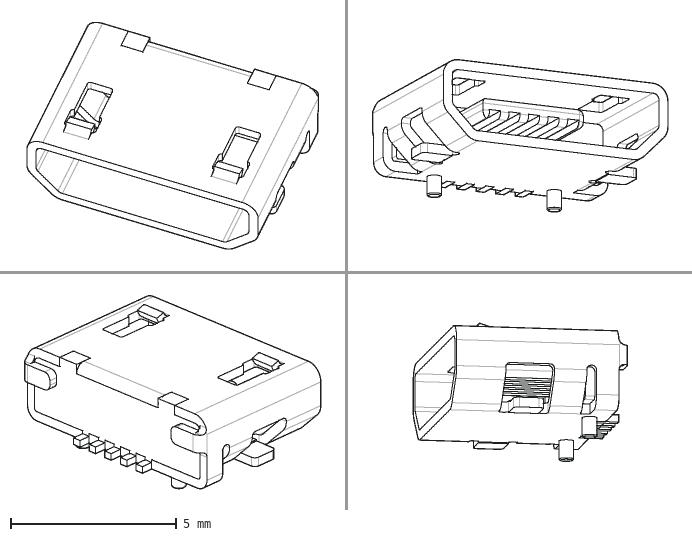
import cadquery as cq
import math


width = 7.5
height = 2.47
depth = 4.995
wall = 0.315
side_wall = 0.3
bend_radius = 0.52
rear_bend_radius = 0.405
bevel = 0.94
bevel_angle = 45.0
half_width = width / 2
inner_half_width = half_width - side_wall
inner_bend_radius = bend_radius - wall
rear_inner_bend_radius = rear_bend_radius - wall
inner_bevel = bevel + wall * math.sqrt(2) - side_wall - wall
floor_half_width = half_width - bevel - bend_radius * math.tan(math.radians(bevel_angle / 2))

slit_front = 4.005
slit_rear = 4.3
slit_corner_radius = 0.14
opening_top = 1.3

window_front = 1.515
window_rear = 3.01
window_corner_radius = 0.14
relief_radius = 0.14
tab_front = window_front + 2 * relief_radius
tab_rear = window_rear - 2 * relief_radius
tab_tip = 3.59
tab_step = 2.78
tab_bottom = -0.03
tab_thickness = 0.3
tab_corner_radius = 0.16

spring_x = 2.4
spring_width = 0.82
spring_root = 0.615
spring_radius = 0.26
spring_angle = 73.0
roof_slot_front = 0.9
roof_slot_rear = 2.715
roof_slot_radius = 0.09
relief_width = 1.005
relief_rear = 1.54

ear_tip = 2.53
ear_thickness = 0.3
ear_bottom = 1.365
ear_top = 1.965
ear_tip_radius = 0.225
ear_bend_radius = 0.29
ear_root_radius = 0.19

lug_x = 2.05
lug_width = 0.705
lug_front = 4.395
roof_edge_radius = wall

tongue_width = 3.42
tongue_bottom = 1.25
tongue_top = 1.85
tongue_front = 1.54
tongue_radius = 0.195

contact_count = 5
contact_pitch = 0.65
contact_x = [(i - (contact_count - 1) / 2) * contact_pitch for i in range(contact_count)]
groove_width = 0.37
groove_top = 1.48
tail_width = 0.27
tail_height = 0.225
tail_front = 4.69
tail_rear = 5.4

peg_x = 2.0
peg_y = 4.395
peg_radius = 0.225
peg_bottom = -0.59
peg_chamfer = 0.04

over = 0.075


def box(x_range, y_range, z_range):
    """Box between the given limits along each axis."""
    sizes = [high - low for low, high in (x_range, y_range, z_range)]
    corner = (x_range[0], y_range[0], z_range[0])
    return cq.Workplane("XY").box(*sizes, centered=False).translate(corner)


def centered_range(middle, size):
    return (middle - size / 2, middle + size / 2)


def both_sides(left):
    """The left-hand shape together with its mirror image on the right."""
    return left.union(left.mirror("YZ"))


def along_y(points, y_range):
    """Prism along Y with a closed outline of (x, z) points."""
    front, rear = y_range
    return cq.Workplane("XZ", origin=(0, front, 0)).polyline(points).close().extrude(front - rear)


def beveled_prism(half, bottom, top, cut, radius, y_range):
    """Front section shape: a box with both lower edges beveled and every long edge rounded."""
    right = [(half - cut, bottom), (half, bottom + cut), (half, top)]
    left = [(-x, z) for x, z in reversed(right)]
    return along_y(right + left, y_range).edges("|Y").fillet(radius)


def rounded_box_prism(half, bottom, top, lower_radius, upper_radius, y_range):
    """Rear section shape: a box with its long edges rounded."""
    prism = box((-half, half), y_range, (bottom, top))
    prism = prism.edges("|Y and <Z").fillet(lower_radius)
    return prism.edges("|Y and >Z").fillet(upper_radius)


def rear_outside(y_range):
    return rounded_box_prism(half_width, 0, height, rear_bend_radius, bend_radius, y_range)


def rear_inside(y_range):
    return rounded_box_prism(
        inner_half_width, wall, height - wall, rear_inner_bend_radius, inner_bend_radius, y_range
    )


def shell_tube():
    front_range = (0, slit_front)
    front = beveled_prism(half_width, 0, height, bevel, bend_radius, front_range)
    front = front.cut(
        beveled_prism(inner_half_width, wall, height - wall, inner_bevel, inner_bend_radius, front_range)
    )
    rear_range = (slit_front, depth)
    rear = rear_outside(rear_range).cut(rear_inside(rear_range))
    return front.union(rear)


def side_opening(y_range, corner_radius):
    """Cutter for an opening in the left wall, open at the bottom, with rounded top corners."""
    block = box((-half_width - over, -floor_half_width), y_range, (-over, opening_top))
    return block.edges("|X and >Z").fillet(corner_radius)


def tab_relief_cutter():
    """Round inner ends of the slots in front of and behind the left solder tab."""
    centers = [(-floor_half_width, y) for y in (window_front + relief_radius, window_rear - relief_radius)]
    below_floor = cq.Workplane("XY", origin=(0, 0, -over))
    return below_floor.pushPoints(centers).circle(relief_radius).extrude(wall + over)


def solder_tab():
    z_range = (tab_bottom, tab_bottom + tab_thickness)
    y_range = (tab_front, tab_rear)
    tab = box((-tab_tip, -floor_half_width), y_range, z_range).edges("|Z and <X").fillet(tab_corner_radius)
    root = box((-tab_step, -floor_half_width), y_range, (0, wall))
    return tab.union(root)


def roof_slot():
    z_range = (height - wall - over, height + over)
    x_range = centered_range(-spring_x, spring_width)
    slot = box(x_range, (roof_slot_front, roof_slot_rear), z_range).edges("|Z").fillet(roof_slot_radius)
    relief_range = centered_range(-spring_x, relief_width)
    relief = box(relief_range, (roof_slot_front, relief_rear), z_range).edges("|Z").fillet(roof_slot_radius)
    return slot.union(relief)


def spring():
    """Strip curling up out of the roof along an arc."""
    center_z = height + spring_radius
    lower_radius = spring_radius + wall

    def on_arc(radius, degrees):
        angle = math.radians(degrees)
        return (spring_root + radius * math.sin(angle), center_z - radius * math.cos(angle))

    profile = (
        cq.Workplane("YZ", origin=(-spring_x - spring_width / 2, 0, 0))
        .moveTo(*on_arc(lower_radius, 0))
        .threePointArc(on_arc(lower_radius, spring_angle / 2), on_arc(lower_radius, spring_angle))
        .lineTo(*on_arc(spring_radius, spring_angle))
        .threePointArc(on_arc(spring_radius, spring_angle / 2), on_arc(spring_radius, 0))
        .close()
    )
    return profile.extrude(spring_width)


def ear_root(z_edge, direction):
    """Concave fillet between the left side wall and the edge of its ear."""
    r = ear_root_radius
    bulge = r * (1 - math.sqrt(0.5))
    profile = (
        cq.Workplane("YZ", origin=(-half_width, 0, 0))
        .moveTo(depth, z_edge)
        .lineTo(depth, z_edge + direction * r)
        .threePointArc((depth + bulge, z_edge + direction * bulge), (depth + r, z_edge))
        .close()
    )
    return profile.extrude(side_wall)


def ear():
    """Ear of the left wall, folded inward behind the rear face."""
    y_range = (depth, depth + ear_thickness)
    blade = box((-half_width, -ear_tip), y_range, (ear_bottom, ear_top))
    blade = blade.edges("|Y and >X").fillet(ear_tip_radius)
    blade = blade.union(ear_root(ear_top, 1)).union(ear_root(ear_bottom, -1))
    bend = box((-half_width, 0), y_range, (0, height)).edges("|Z and <X and >Y").fillet(ear_bend_radius)
    return blade.intersect(bend).intersect(rear_outside(y_range))


def roof_edge_cutter():
    """Rounds the rear edge of the roof between the two lugs."""
    length = 2 * lug_x - lug_width
    y_start = depth - roof_edge_radius
    z_start = height - roof_edge_radius
    corner = box((-length / 2, length / 2), (y_start, depth), (z_start, height))
    round_bar = (
        cq.Workplane("YZ", origin=(-length / 2, y_start, z_start)).circle(roof_edge_radius).extrude(length)
    )
    return corner.cut(round_bar)


def tongue():
    half = tongue_width / 2
    y_range = (tongue_front, slit_front)
    z_range = (tongue_bottom, tongue_top)
    blade = box((-half, half), y_range, z_range)
    blade = blade.edges("(<Y and >Z) or (<Y and <Z) or (<Y and >X) or (|Y and >X)").fillet(tongue_radius)
    rounded_ends = box((-half, half), y_range, z_range).edges("|Y and <X").fillet(tongue_radius)
    blade = blade.intersect(rounded_ends)
    for x in contact_x:
        blade = blade.cut(box(centered_range(x, groove_width), y_range, (tongue_bottom, groove_top)))
    return blade


def roof_lug():
    """Block that fills the notch in the rear edge of the roof."""
    return box(centered_range(-lug_x, lug_width), (lug_front, depth), (height - wall, height))


def contact_tail(x):
    """Post down through the floor with a tail running out at the rear."""
    x_range = centered_range(x, tail_width)
    post = box(x_range, (tail_front, depth), (0, wall))
    tail = box(x_range, (tail_front, tail_rear), (0, tail_height))
    return post.union(tail)


def peg():
    pin = cq.Workplane("XY", origin=(-peg_x, peg_y, peg_bottom)).circle(peg_radius).extrude(wall - peg_bottom)
    return pin.faces("<Z").chamfer(peg_chamfer)


def make_insulator():
    body = rear_inside((slit_front, depth))
    body = body.union(tongue())
    body = body.union(both_sides(roof_lug()))
    body = body.union(both_sides(peg()))
    for x in contact_x:
        body = body.union(contact_tail(x))
    return body


def make_shell(insulator):
    shell = shell_tube()
    shell = shell.cut(both_sides(side_opening((slit_front, slit_rear), slit_corner_radius)))
    shell = shell.cut(both_sides(side_opening((window_front, window_rear), window_corner_radius)))
    shell = shell.cut(both_sides(tab_relief_cutter()))
    shell = shell.union(both_sides(solder_tab()))
    shell = shell.cut(both_sides(roof_slot()))
    shell = shell.union(both_sides(spring()))
    shell = shell.union(both_sides(ear()))
    shell = shell.cut(roof_edge_cutter())
    return shell.cut(insulator)


insulator = make_insulator()
shell = make_shell(insulator)

result = cq.Compound.makeCompound([shell.val(), insulator.val()])